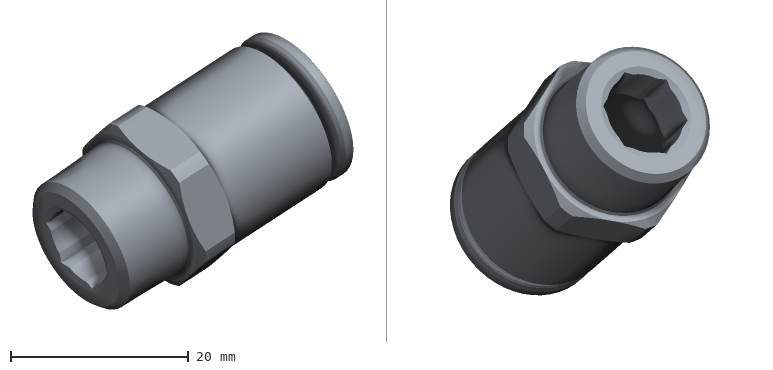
import cadquery as cq
import math


THREAD_BASE_R = 8.5
THREAD_TAPER_PER_SIDE = 1 / 32
THREAD_CHAMFER = 0.85
THREAD_RELIEF = 0.27

HEX_FLATS = 19.0
HEX_CORNER_R = 21.0 / 2
HEX_START_Y = 9.65
HEX_END_Y = 15.3
HEX_CHAMFER_SLOPE = math.tan(math.radians(30))

SLEEVE_R = 18.6 / 2
SLEEVE_END_Y = 30.25
SLEEVE_EDGE_FILLET = 0.2

SOCKET_FLATS = 9.0
SOCKET_RELIEF_R = 4.72
SOCKET_END_Y = 6.33
SOCKET_MOUTH_R = 5.53
SOCKET_MOUTH_DEPTH = 0.3
TUBE_R = 6.0

TOTAL_LENGTH = 33.5
BUTTON_NECK_R = 6.75
BUTTON_INSERTION = 4.02
FLANGE_R = SLEEVE_R
FLANGE_BOTTOM_R = 8.85
FLANGE_BOTTOM_Y = 31.6
FLANGE_BEVEL_R = 9.05
FLANGE_BEVEL_Y = 31.75
FLANGE_RIM_Y = 32.23
FLANGE_TOP_FILLET = 0.2
NECK_FILLET = 0.3

THREAD_ROOT_Y = HEX_START_Y - THREAD_RELIEF
BUTTON_START_Y = SLEEVE_END_Y - BUTTON_INSERTION


def revolved(points):
    """Revolve a closed (radius, y) outline about the Y axis."""
    return cq.Workplane("XY").polyline(points).close().revolve(360, (0, 0), (0, 1))


def hex_prism(across_flats, start_y, end_y):
    """Hexagonal prism along Y with flats at +Z and -Z."""
    corner_diameter = across_flats / math.cos(math.radians(30))
    base = cq.Workplane("XZ", origin=(0, start_y, 0))
    return base.polygon(6, corner_diameter).extrude(start_y - end_y)


def cylinder(radius, start_y, end_y):
    return cq.Workplane("XZ", origin=(0, start_y, 0)).circle(radius).extrude(start_y - end_y)


def make_thread():
    front_r = THREAD_BASE_R - (THREAD_ROOT_Y - THREAD_CHAMFER) * THREAD_TAPER_PER_SIDE
    return revolved([
        (0, 0),
        (front_r - THREAD_CHAMFER, 0),
        (front_r, THREAD_CHAMFER),
        (THREAD_BASE_R, THREAD_ROOT_Y),
        (THREAD_BASE_R + THREAD_RELIEF, HEX_START_Y),
        (0, HEX_START_Y),
    ])


def make_hex_collar():
    lower_r = HEX_FLATS / 2
    lower_chamfer = (HEX_CORNER_R - lower_r) * HEX_CHAMFER_SLOPE
    upper_chamfer = (HEX_CORNER_R - SLEEVE_R) * HEX_CHAMFER_SLOPE
    turned_blank = revolved([
        (0, HEX_START_Y),
        (lower_r, HEX_START_Y),
        (HEX_CORNER_R, HEX_START_Y + lower_chamfer),
        (HEX_CORNER_R, HEX_END_Y - upper_chamfer),
        (SLEEVE_R, HEX_END_Y),
        (0, HEX_END_Y),
    ])
    return hex_prism(HEX_FLATS, HEX_START_Y, HEX_END_Y).intersect(turned_blank)


def make_passage():
    """Everything bored out of the housing, from wrench socket to button seat."""
    mouth = revolved([
        (0, 0),
        (SOCKET_MOUTH_R, 0),
        (SOCKET_RELIEF_R, SOCKET_MOUTH_DEPTH),
        (0, SOCKET_MOUTH_DEPTH),
    ])
    socket = hex_prism(SOCKET_FLATS, 0, SOCKET_END_Y)
    socket_relief = cylinder(SOCKET_RELIEF_R, 0, SOCKET_END_Y)
    tube_bore = cylinder(TUBE_R, SOCKET_END_Y, BUTTON_START_Y)
    button_seat = cylinder(BUTTON_NECK_R, BUTTON_START_Y, SLEEVE_END_Y)
    return mouth.union(socket).union(socket_relief).union(tube_bore).union(button_seat)


def make_housing():
    sleeve = cylinder(SLEEVE_R, HEX_END_Y, SLEEVE_END_Y).faces(">Y").edges().fillet(SLEEVE_EDGE_FILLET)
    return make_thread().union(make_hex_collar()).union(sleeve).cut(make_passage())


def make_release_button():
    fillet_middle = NECK_FILLET * (1 - math.cos(math.pi / 4))
    outline = (
        cq.Workplane("XY")
        .moveTo(0, BUTTON_START_Y)
        .lineTo(BUTTON_NECK_R, BUTTON_START_Y)
        .lineTo(BUTTON_NECK_R, FLANGE_BOTTOM_Y - NECK_FILLET)
        .threePointArc(
            (BUTTON_NECK_R + fillet_middle, FLANGE_BOTTOM_Y - fillet_middle),
            (BUTTON_NECK_R + NECK_FILLET, FLANGE_BOTTOM_Y),
        )
        .lineTo(FLANGE_BOTTOM_R, FLANGE_BOTTOM_Y)
        .lineTo(FLANGE_BEVEL_R, FLANGE_BEVEL_Y)
        .lineTo(FLANGE_R, FLANGE_RIM_Y)
        .lineTo(FLANGE_R, TOTAL_LENGTH)
        .lineTo(0, TOTAL_LENGTH)
        .close()
    )
    blank = outline.revolve(360, (0, 0), (0, 1)).faces(">Y").edges().fillet(FLANGE_TOP_FILLET)
    tube_bore = cylinder(TUBE_R, BUTTON_START_Y, TOTAL_LENGTH)
    return blank.cut(tube_bore)


housing = make_housing()
release_button = make_release_button()

result = cq.Compound.makeCompound([housing.val(), release_button.val()])